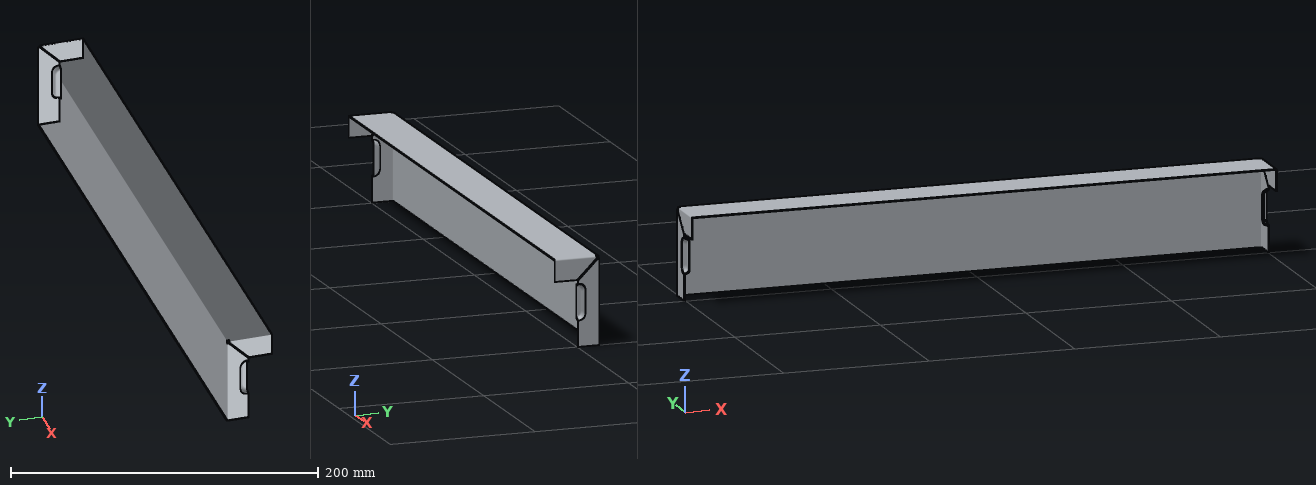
import cadquery as cq

length = 402.0
depth = 31.0
height = 60.0
sheet = 0.8
outer_bend_radius = 1.0

flange_width = 15.0
miter_gap = 0.5
corner_relief = 2.0

dimple_length = 24.0
dimple_reach = 5.0
dimple_depth = 3.3
dimple_corner_radius = 4.5
dimple_floor_radius = 1.2
dimple_center_z = height / 2
dimple_slope = 23.0

half_length = length / 2
free_edge_y = -flange_width
upper_flange_bottom = height - flange_width


def flange_envelope(inset):
    """L-shaped envelope of the cover, with its back, top and end faces moved in by inset."""
    back = -inset
    top = height - inset
    outline = [
        (back, 0),
        (back, top),
        (-depth, top),
        (-depth, upper_flange_bottom),
        (free_edge_y, upper_flange_bottom),
        (free_edge_y, 0),
    ]
    envelope = cq.Workplane("YZ").polyline(outline).close().extrude(half_length - inset, both=True)
    folds = (
        envelope.edges("|X").edges(">Y and >Z")
        .add(envelope.faces("<X").edges(">Y or >Z"))
        .add(envelope.faces(">X").edges(">Y or >Z"))
    )
    return envelope.newObject(folds.vals()).fillet(outer_bend_radius - inset)


def folded_sheet():
    """Back wall, top wall and end flanges, open at the front and underneath."""
    return flange_envelope(0).cut(flange_envelope(sheet))


def miter_slit():
    """Diagonal slit that separates the upper and lower flange at one end."""
    slit_length = flange_width * 2 ** 0.5 + miter_gap
    middle = flange_width / 2
    return (
        cq.Workplane("YZ", origin=(-half_length, -middle, height - middle))
        .transformed(rotate=(0, 0, 45))
        .rect(slit_length, miter_gap)
        .extrude(corner_relief)
    )


def corner_notch():
    """Square relief at the corner shared by the back wall, the top wall and one end."""
    return (
        cq.Workplane("XY", origin=(-half_length, 0, height))
        .box(corner_relief, corner_relief, corner_relief, centered=False)
        .translate((0, -corner_relief, -corner_relief))
    )


def dimple_block(growth):
    """Tapered block with a rounded floor, grown by growth and running out past the free edge."""
    mouth_end_y = free_edge_y + dimple_reach
    mouth_width = dimple_reach + flange_width
    return (
        cq.Workplane("YZ", origin=(-half_length, mouth_end_y - mouth_width / 2, dimple_center_z))
        .rect(mouth_width + 2 * growth, dimple_length + 2 * growth)
        .extrude(dimple_depth + growth, taper=dimple_slope)
        .edges("not #X")
        .fillet(dimple_corner_radius + growth)
        .faces(">X")
        .edges()
        .fillet(dimple_floor_radius + growth)
    )


def dimple_skin():
    """Sheet around the dimple, ending at the free edge."""
    behind_free_edge = (
        cq.Workplane("XY", origin=(-half_length, free_edge_y, 0))
        .box(2 * flange_width, flange_width, height, centered=(True, False, False))
    )
    return dimple_block(sheet).intersect(behind_free_edge)


def at_both_ends(body):
    """Body of the left end together with its mirror image at the right end."""
    return body.add(body.mirror("YZ")).combine()


result = (
    folded_sheet()
    .cut(at_both_ends(miter_slit()))
    .cut(at_both_ends(corner_notch()))
    .union(at_both_ends(dimple_skin()))
    .cut(at_both_ends(dimple_block(0)))
)